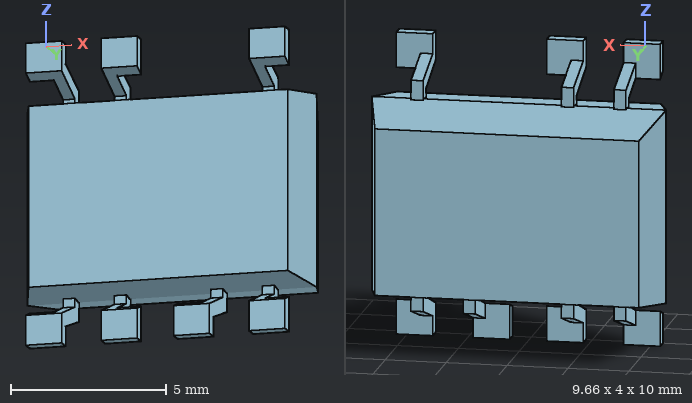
import cadquery as cq

BODY_LENGTH = 9.66
BODY_HEIGHT = 6.4
FACE_LENGTH = 8.66
FRONT_FACE_HEIGHT = 6.0
BACK_FACE_HEIGHT = 5.52
BACK_FACE_DROP = 0.14
FRONT_DEPTH = 1.65
BACK_DEPTH = 2.0

PIN_THICKNESS = 0.5
STEM_BACK_Y = 0.1
STEM_FRONT_Y = STEM_BACK_Y - PIN_THICKNESS
FOOT_FRONT_Y = -2.0
FOOT_BACK_Y = FOOT_FRONT_Y + PIN_THICKNESS
FOOT_TIP_Z = 5.0
FOOT_FRONT_Z = 4.01
BEND_INNER_Z = 3.44
BEND_OUTER_Z = 3.82
FOOT_BEND_Z = 4.34
STEM_ROOT_Z = 2.8
STEM_WIDTH = 0.4
FOOT_WIDTH = 1.2
OUTER_STEM_X = 3.33
INNER_STEM_X = 1.61

INNER_SLOPE = (FOOT_FRONT_Z - BEND_INNER_Z) / (STEM_FRONT_Y - FOOT_FRONT_Y)
FOOT_BACK_Z = FOOT_FRONT_Z - INNER_SLOPE * PIN_THICKNESS

STEM_PROFILE = [
    (STEM_BACK_Y, STEM_ROOT_Z),
    (STEM_BACK_Y, BEND_OUTER_Z),
    (FOOT_BACK_Y, FOOT_BEND_Z),
    (FOOT_BACK_Y, FOOT_TIP_Z),
    (FOOT_FRONT_Y, FOOT_TIP_Z),
    (FOOT_FRONT_Y, FOOT_FRONT_Z),
    (STEM_FRONT_Y, BEND_INNER_Z),
    (STEM_FRONT_Y, STEM_ROOT_Z),
]
FOOT_PROFILE = [
    (FOOT_BACK_Y, FOOT_BACK_Z),
    (FOOT_BACK_Y, FOOT_TIP_Z),
    (FOOT_FRONT_Y, FOOT_TIP_Z),
    (FOOT_FRONT_Y, FOOT_FRONT_Z),
]

TOP_PINS = [(-OUTER_STEM_X, -1), (-INNER_STEM_X, 1), (OUTER_STEM_X, 1)]
BOTTOM_PINS = TOP_PINS + [(INNER_STEM_X, -1)]


def body_half(depth, face_height, face_drop=0.0):
    """Taper from the parting plane to the end face; positive depth runs toward -Y."""
    return (
        cq.Workplane("XZ")
        .rect(BODY_LENGTH, BODY_HEIGHT)
        .workplane(offset=depth)
        .center(0, -face_drop)
        .rect(FACE_LENGTH, face_height)
        .loft(ruled=True)
    )


def slab(profile, start_x, width):
    """Extrude a YZ profile along +X."""
    return cq.Workplane("YZ", origin=(start_x, 0, 0)).polyline(profile).close().extrude(width)


def top_pin(stem_x, foot_direction):
    """Pin leaving the upper side of the body, its foot offset to one side."""
    foot_x = stem_x + foot_direction * (FOOT_WIDTH - STEM_WIDTH) / 2
    stem = slab(STEM_PROFILE, stem_x - STEM_WIDTH / 2, STEM_WIDTH)
    foot = slab(FOOT_PROFILE, foot_x - FOOT_WIDTH / 2, FOOT_WIDTH)
    return stem.union(foot)


front_half = body_half(FRONT_DEPTH, FRONT_FACE_HEIGHT)
back_half = body_half(-BACK_DEPTH, BACK_FACE_HEIGHT, BACK_FACE_DROP)
result = front_half.union(back_half)

for stem_x, foot_direction in TOP_PINS:
    result = result.union(top_pin(stem_x, foot_direction))

for stem_x, foot_direction in BOTTOM_PINS:
    result = result.union(top_pin(stem_x, foot_direction).mirror("XY"))